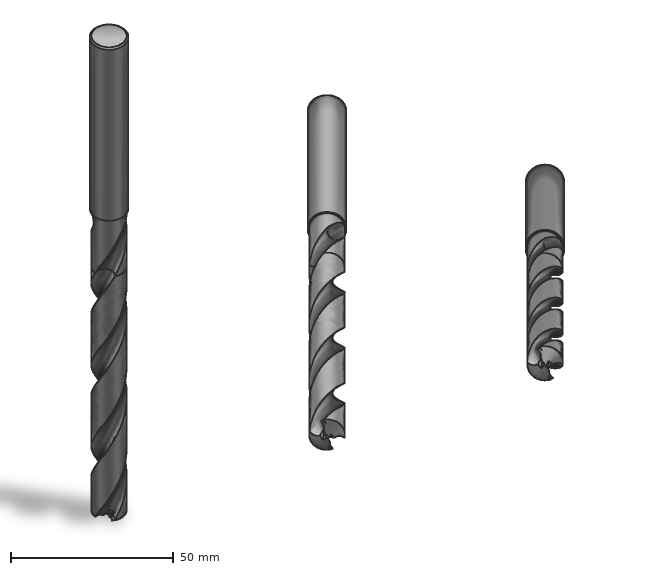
import cadquery as cq
import math

total_length = 194.0
shank_diameter = 12.0
drill_diameter = 11.0
shank_start = 124.2
cutter_length = 100.9
shank_chamfer = 0.5
point_angle = 140.0

flute_count = 2
flute_pitch = 66.0
flute_radius = 3.1
flute_offset = 4.8
flute_angle = -85.0
flute_end = 116.5
runout_height = 7.8
runout_lean = 0.7
runout_slope = 0.35

gash_width = 1.5
gash_tilt = 20.0
gash_lean = 40.0
gash_size = 9.7
gash_corner = (1.7, 1.5, 4.0)

drill_radius = drill_diameter / 2
shank_radius = shank_diameter / 2
point_height = drill_radius / math.tan(math.radians(point_angle / 2))


def helix_angle_at(height):
    """Direction of the first flute at a height above the tip."""
    return flute_angle + 360 * height / flute_pitch


def make_helical_flute(start_angle):
    """Round section twisted about the axis, from the shank joint to the run-out."""
    height = flute_end - cutter_length
    return (
        cq.Workplane("XY")
        .moveTo(flute_offset, 0)
        .circle(flute_radius)
        .twistExtrude(height, 360 * height / flute_pitch)
        .rotate((0, 0, 0), (0, 0, 1), helix_angle_at(cutter_length) + start_angle)
        .translate((0, 0, cutter_length))
    )


def make_runout(start_angle):
    """Straight prism that leans along the helix and leaves the drill outwards."""
    angle = math.radians(helix_angle_at(flute_end) + start_angle)
    radial = cq.Vector(math.cos(angle), math.sin(angle), 0)
    tangent = cq.Vector(-math.sin(angle), math.cos(angle), 0)
    direction = radial * runout_slope + tangent * runout_lean + cq.Vector(0, 0, 1)
    centre = radial * flute_offset + cq.Vector(0, 0, flute_end)
    section = cq.Wire.makeCircle(flute_radius, centre, cq.Vector(0, 0, 1))
    return cq.Workplane(cq.Solid.extrudeLinear(section, [], direction * runout_height))


def make_gash(start_angle):
    """Tilted block whose inner side thins the web, up to a corner on the flute floor."""
    return (
        cq.Workplane("XY", origin=(0, 0, -gash_size))
        .box(gash_size, gash_width, gash_size, centered=False)
        .rotate((0, 0, 0), (1, 0, 0), -gash_lean)
        .rotate((0, 0, 0), (0, 1, 0), gash_tilt)
        .translate(gash_corner)
        .rotate((0, 0, 0), (0, 0, 1), flute_angle + start_angle)
    )


def cut_around(body, make_tool):
    """Cut one tool at each flute, evenly spaced around the axis."""
    for index in range(flute_count):
        body = body.cut(make_tool(index * 360 / flute_count))
    return body


def make_cutter():
    """Cutting part: round body with helical flutes and a gashed conical point."""
    section = (
        cq.Sketch()
        .circle(drill_radius)
        .parray(flute_offset, 0, 360, flute_count)
        .circle(flute_radius, mode="s")
    )
    outline = cq.Workplane("XY").placeSketch(section).extrude(2).faces("<Z").wires().toPending()
    fluted_bar = (
        outline
        .twistExtrude(cutter_length, 360 * cutter_length / flute_pitch)
        .rotate((0, 0, 0), (0, 0, 1), flute_angle)
    )
    envelope_radius = 2 * drill_radius
    point_envelope = (
        cq.Workplane("XZ")
        .polyline([
            (0, 0),
            (envelope_radius, 2 * point_height),
            (envelope_radius, total_length),
            (0, total_length),
        ])
        .close()
        .revolve(360, (0, 0, 0), (0, 1, 0))
    )
    pointed_bar = fluted_bar.intersect(point_envelope)
    return cut_around(pointed_bar, make_gash)


def make_shank():
    """Shank with its chamfered end, and a neck where the flutes run out."""
    neck = (
        cq.Workplane("XY", origin=(0, 0, cutter_length))
        .circle(drill_radius)
        .extrude(shank_start - cutter_length)
    )
    neck = cut_around(neck, make_helical_flute)
    neck = cut_around(neck, make_runout)
    grip = (
        cq.Workplane("XY", origin=(0, 0, shank_start))
        .circle(shank_radius)
        .extrude(total_length - shank_start)
        .faces(">Z")
        .chamfer(shank_chamfer)
    )
    return neck.union(grip)


cutter = make_cutter()
shank = make_shank()

result = cq.Compound.makeCompound([cutter.val(), shank.val()])